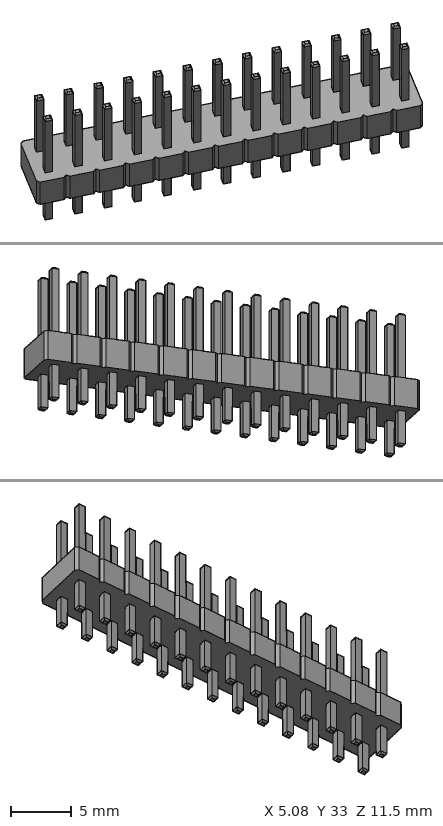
import cadquery as cq

PITCH = 2.54
COLUMNS = 2
ROWS = 13
BODY_HEIGHT = 2.54
CORNER_CHAMFER = 0.25
PIN_WIDTH = 0.64
PIN_ABOVE = 6.0
PIN_BELOW = 3.0
TIP_CHAMFER = 0.15

BODY_WIDTH = COLUMNS * PITCH
PIN_LENGTH = PIN_BELOW + BODY_HEIGHT + PIN_ABOVE


def centred_positions(count):
    """Places of `count` items, one pitch apart and centred on zero."""
    return [(i - (count - 1) / 2) * PITCH for i in range(count)]


def body_segment(y):
    """One row of the insulator: a block with chamfered vertical edges."""
    return (
        cq.Workplane("XY")
        .box(BODY_WIDTH, PITCH, BODY_HEIGHT, centered=(True, True, False))
        .edges("|Z")
        .chamfer(CORNER_CHAMFER)
        .translate((0, y, 0))
    )


def pin(x, y):
    """A square pin through the body, bevelled at both tips."""
    return (
        cq.Workplane("XY")
        .box(PIN_WIDTH, PIN_WIDTH, PIN_LENGTH, centered=(True, True, False))
        .faces("<Z or >Z")
        .chamfer(TIP_CHAMFER)
        .translate((x, y, -PIN_BELOW))
    )


result = cq.Workplane("XY")
for row_y in centred_positions(ROWS):
    result = result.union(body_segment(row_y))
    for column_x in centred_positions(COLUMNS):
        result = result.union(pin(column_x, row_y))
result = result.clean()